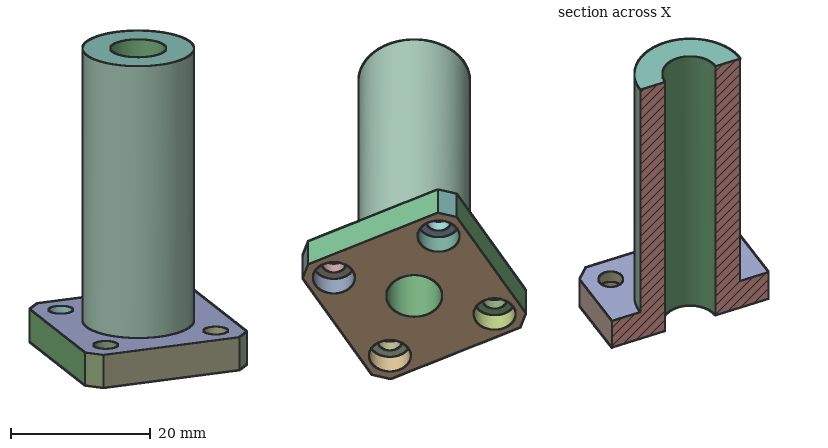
import cadquery as cq
import math

flange_side = 25.0
flange_thickness = 5.0
corner_chamfer = 2.0

total_height = 46.0
sleeve_diameter = 16.0
bore_diameter = 8.0

bolt_circle_diameter = 24.0
bolt_hole_diameter = 3.5
counterbore_diameter = 6.0
counterbore_depth = 3.1
bolt_spacing = bolt_circle_diameter * math.cos(math.radians(45))


def make_flange():
    """Square plate on Z = 0 with its four corners cut off."""
    plate = cq.Workplane("XY").rect(flange_side, flange_side).extrude(flange_thickness)
    return plate.edges("|Z").chamfer(corner_chamfer)


def make_sleeve():
    """Solid cylinder running the full height of the part."""
    return cq.Workplane("XY").circle(sleeve_diameter / 2).extrude(total_height)


def make_bore():
    """Central through bore."""
    return cq.Workplane("XY").circle(bore_diameter / 2).extrude(total_height)


def make_bolt_holes():
    """Four through holes in the flange, counterbored from its underside."""
    centres = cq.Workplane("XY").rect(bolt_spacing, bolt_spacing, forConstruction=True).vertices()
    shanks = centres.circle(bolt_hole_diameter / 2).extrude(flange_thickness)
    heads = centres.circle(counterbore_diameter / 2).extrude(counterbore_depth)
    return shanks.union(heads)


result = make_flange().union(make_sleeve()).cut(make_bore()).cut(make_bolt_holes())